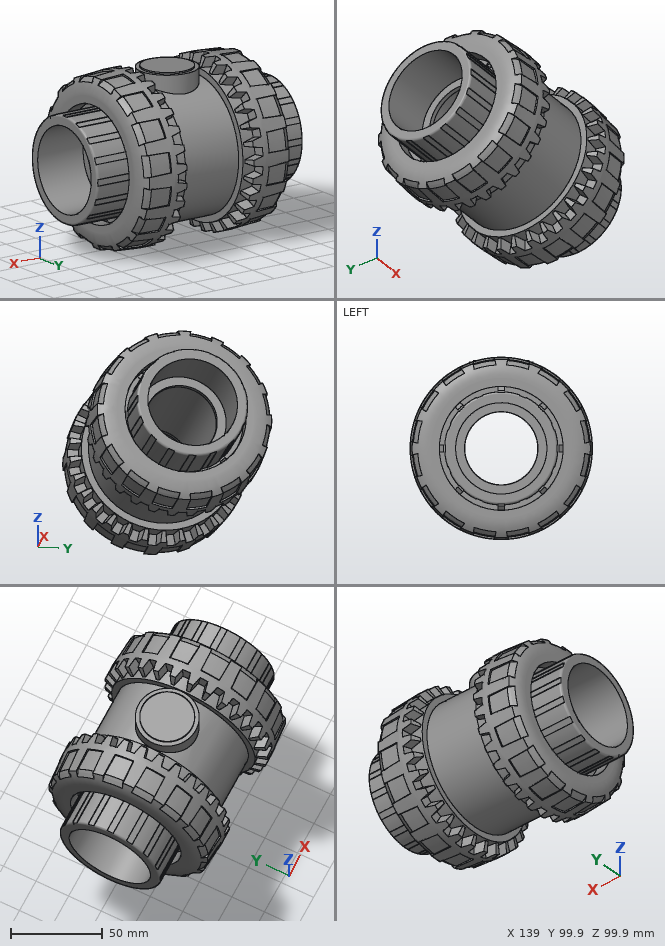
import cadquery as cq
HALF_LENGTH = 69.5
BORE_RADIUS = 20.0

BARREL_RADIUS = 40.0
COLLAR_START = 19.3
COLLAR_RADIUS = 44.0
HOUSING_END = 36.1

BOSS_RADIUS = 17.5
BOSS_TOP = 47.4
CAP_RADIUS = 15.08
CAP_TOP = 48.2
CAP_THICKNESS = 2.2

NUT_RADIUS = 49.97
NUT_INNER_END = 20.6
NUT_CHAMFER_START = 22.7
NUT_TAPER_START = 30.7
NUT_NOSE_START = 47.1
NUT_NOSE_RADIUS = 48.8
NUT_NOSE_MID_OUT = 48.9
NUT_NOSE_MID_RADIUS = 45.6
NUT_OUTER_END = 50.3
NUT_FACE_RADIUS = 38.5
NUT_HOLE_RADIUS = 33.9
NUT_LIP_THICKNESS = 8.3

GRIP_COUNT = 16
GRIP_START = 33.0
GRIP_FIRST_BEND = 45.5
GRIP_SECOND_BEND = 47.0
GRIP_END = 49.0
GRIP_START_HALF_WIDTH = 5.7
GRIP_END_HALF_WIDTH = 6.1
GRIP_START_FLOOR = 48.8
GRIP_FIRST_BEND_FLOOR = 48.2
GRIP_SECOND_BEND_FLOOR = 47.3
GRIP_END_FLOOR = 45.6

TOOTH_COUNT = 29
NOTCH_OPEN_END = 19.5
NOTCH_ROOT_OUTER = 28.6
NOTCH_ROOT_INNER = 27.4
NOTCH_ROOT_HALF_OUTER = 2.4
NOTCH_OPEN_HALF_OUTER = 4.5
NOTCH_ROOT_HALF_INNER = 2.0
NOTCH_OPEN_HALF_INNER = 4.0
NOTCH_INNER_PLANE = 43.4

SOCKET_RADIUS = 25.0
SOCKET_DEPTH = 30.7
TUBE_RADIUS = 31.0
TUBE_ROUNDING = 1.4
FLANGE_RADIUS = 39.13
FLANGE_FACE = NUT_OUTER_END - NUT_LIP_THICKNESS
GROOVE_COUNT = 16
GROOVE_WIDTH = 3.8
GROOVE_DEPTH = 0.4
POCKET_COUNT = 8
POCKET_INNER_RADIUS = 31.7
POCKET_DEPTH = NUT_HOLE_RADIUS - POCKET_INNER_RADIUS

CLEARANCE = 1.4


def x_cylinder(radius, start, end):
    """A round bar along X between two X positions."""
    return cq.Workplane("YZ", origin=(start, 0, 0)).circle(radius).extrude(end - start)


def around_x(shape, count, first_angle=0.0):
    """Copies of one shape evenly spaced around the X axis, as a list of solids."""
    step = 360.0 / count
    return [
        shape.rotate((0, 0, 0), (1, 0, 0), first_angle + i * step).val()
        for i in range(count)
    ]


def cut_all(body, cutters):
    return cq.Workplane(body.val().cut(*cutters))


def revolve_x(sketch):
    """Turn a closed profile, drawn in XY with Y as the radius, around the X axis."""
    return sketch.close().revolve(360, (0, 0, 0), (1, 0, 0))


def opposite(body):
    """The same body turned half round about Z, for the +X end."""
    return body.rotate((0, 0, 0), (0, 0, 1), 180)


def make_housing():
    body = x_cylinder(BARREL_RADIUS, -HOUSING_END, HOUSING_END)
    boss = cq.Workplane("XY").circle(BOSS_RADIUS).extrude(BOSS_TOP)
    body = body.union(boss)
    for start, end in ((-HOUSING_END, -COLLAR_START), (COLLAR_START, HOUSING_END)):
        body = body.union(x_cylinder(COLLAR_RADIUS, start, end))
    body = body.cut(x_cylinder(BORE_RADIUS, -HOUSING_END, HOUSING_END))
    return body.cut(make_cap())


def make_cap():
    bottom = CAP_TOP - CAP_THICKNESS
    return cq.Workplane("XY", origin=(0, 0, bottom)).circle(CAP_RADIUS).extrude(CAP_THICKNESS)


def nut_blank():
    """Turned shape of the -X nut, with its stepped bore."""
    profile = (
        cq.Workplane("XY")
        .moveTo(-NUT_INNER_END, COLLAR_RADIUS)
        .lineTo(-NUT_CHAMFER_START, NUT_RADIUS)
        .lineTo(-NUT_TAPER_START, NUT_RADIUS)
        .lineTo(-NUT_NOSE_START, NUT_NOSE_RADIUS)
        .threePointArc(
            (-NUT_NOSE_MID_OUT, NUT_NOSE_MID_RADIUS),
            (-NUT_OUTER_END, NUT_FACE_RADIUS),
        )
        .lineTo(-NUT_OUTER_END, NUT_HOLE_RADIUS)
        .lineTo(-FLANGE_FACE, NUT_HOLE_RADIUS)
        .lineTo(-FLANGE_FACE, FLANGE_RADIUS)
        .lineTo(-HOUSING_END, FLANGE_RADIUS)
        .lineTo(-HOUSING_END, COLLAR_RADIUS)
    )
    return revolve_x(profile)


def grip_cutter():
    """Cutter for one grip recess, centred on +Z: a tapered block above the recess floor."""
    top = NUT_RADIUS + CLEARANCE
    block = (
        cq.Workplane("XY")
        .moveTo(-GRIP_START, -GRIP_START_HALF_WIDTH)
        .lineTo(-GRIP_START, GRIP_START_HALF_WIDTH)
        .lineTo(-GRIP_END, GRIP_END_HALF_WIDTH)
        .lineTo(-GRIP_END, -GRIP_END_HALF_WIDTH)
        .close()
        .extrude(top)
    )
    ring = revolve_x(
        cq.Workplane("XY")
        .moveTo(-GRIP_START, top)
        .lineTo(-GRIP_START, GRIP_START_FLOOR)
        .lineTo(-GRIP_FIRST_BEND, GRIP_FIRST_BEND_FLOOR)
        .lineTo(-GRIP_SECOND_BEND, GRIP_SECOND_BEND_FLOOR)
        .lineTo(-GRIP_END, GRIP_END_FLOOR)
        .lineTo(-GRIP_END, top)
    )
    return block.intersect(ring)


def notch_cutter():
    """Cutter for one notch between teeth, centred on +Z, narrowing towards its root."""
    height = NUT_RADIUS - NOTCH_INNER_PLANE
    return (
        cq.Workplane("XY", origin=(0, 0, NOTCH_INNER_PLANE))
        .moveTo(-NOTCH_OPEN_END, -NOTCH_OPEN_HALF_INNER)
        .lineTo(-NOTCH_OPEN_END, NOTCH_OPEN_HALF_INNER)
        .lineTo(-NOTCH_ROOT_INNER, NOTCH_ROOT_HALF_INNER)
        .lineTo(-NOTCH_ROOT_INNER, -NOTCH_ROOT_HALF_INNER)
        .close()
        .workplane(offset=height)
        .moveTo(-NOTCH_OPEN_END, -NOTCH_OPEN_HALF_OUTER)
        .lineTo(-NOTCH_OPEN_END, NOTCH_OPEN_HALF_OUTER)
        .lineTo(-NOTCH_ROOT_OUTER, NOTCH_ROOT_HALF_OUTER)
        .lineTo(-NOTCH_ROOT_OUTER, -NOTCH_ROOT_HALF_OUTER)
        .close()
        .loft(ruled=True)
    )


def make_nut():
    grips = around_x(grip_cutter(), GRIP_COUNT, 180.0 / GRIP_COUNT)
    notches = around_x(notch_cutter(), TOOTH_COUNT, 90.0)
    return cut_all(nut_blank(), grips + notches)


def groove_cutter():
    """Cutter for one flat-bottomed groove along the outside of the connector tube."""
    floor = TUBE_RADIUS - GROOVE_DEPTH
    start_plane = cq.Workplane("YZ", origin=(-HALF_LENGTH, 0, floor + CLEARANCE / 2))
    return start_plane.rect(GROOVE_WIDTH, CLEARANCE).extrude(HALF_LENGTH - FLANGE_FACE)


def pocket_cutter():
    """Cutter for one flange pocket whose floor slopes deeper towards the outside."""
    return (
        cq.Workplane("XZ", origin=(0, GROOVE_WIDTH / 2, 0))
        .moveTo(-FLANGE_FACE, POCKET_INNER_RADIUS)
        .lineTo(-FLANGE_FACE, NUT_HOLE_RADIUS)
        .lineTo(-FLANGE_FACE + POCKET_DEPTH, NUT_HOLE_RADIUS)
        .close()
        .extrude(GROOVE_WIDTH)
    )


def make_connector():
    tube = x_cylinder(TUBE_RADIUS, -HALF_LENGTH, -FLANGE_FACE)
    tube = tube.faces("<X").edges().fillet(TUBE_ROUNDING)
    tube = cut_all(tube, around_x(groove_cutter(), GROOVE_COUNT))
    flange = x_cylinder(FLANGE_RADIUS, -FLANGE_FACE, -HOUSING_END)
    flange = cut_all(flange, around_x(pocket_cutter(), POCKET_COUNT))
    bore = x_cylinder(BORE_RADIUS, -HALF_LENGTH, -HOUSING_END)
    socket = x_cylinder(SOCKET_RADIUS, -HALF_LENGTH, -HALF_LENGTH + SOCKET_DEPTH)
    return tube.union(flange).cut(bore).cut(socket)


housing = make_housing()
cap = make_cap()
nut = make_nut()
connector = make_connector()

end_bodies = []
for end_body in (nut, connector):
    end_bodies.append(end_body.val())
    end_bodies.append(opposite(end_body).val())

result = cq.Compound.makeCompound([housing.val(), cap.val(), *end_bodies])